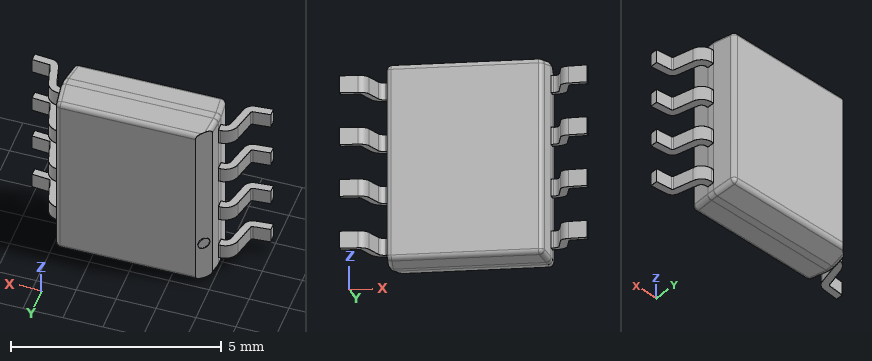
import cadquery as cq
import math


BODY_WIDTH = 3.94
BODY_LENGTH = 4.93
BODY_THICKNESS = 1.485
BAND_THICKNESS = 0.205
DRAFT_ANGLE = 7.0
BODY_FILLET = 0.125
CHAMFER_SETBACK = 0.28

MARKER_RADIUS = 0.155
MARKER_DEPTH = 0.03

LEAD_COUNT = 4
LEAD_PITCH = 1.27
LEAD_WIDTH = 0.42
LEAD_THICKNESS = BAND_THICKNESS
LEAD_SPAN = 5.99
TOE_DEPTH = 0.99
SHOULDER_REACH = 2.31
LEG_ANGLE = 14.0
FOOT_ANGLE = 5.0
SHOULDER_INNER_RADIUS = 0.155
SHOULDER_OUTER_RADIUS = 0.36
HEEL_INNER_RADIUS = 0.05
HEEL_OUTER_RADIUS = 0.26

half_width = BODY_WIDTH / 2
half_thickness = BODY_THICKNESS / 2
half_band = BAND_THICKNESS / 2
draft_height = half_thickness - half_band
top_half_width = half_width - draft_height * math.tan(math.radians(DRAFT_ANGLE))

chamfer_drop = CHAMFER_SETBACK / (1 - math.tan(math.radians(DRAFT_ANGLE)))
chamfer_top_x = CHAMFER_SETBACK - top_half_width
chamfer_middle = (chamfer_top_x - chamfer_drop / 2, half_thickness - chamfer_drop / 2)
marker_z = -LEAD_PITCH


def make_drafted_half(direction):
    """Half of the body outside the band, on the +Y (1) or -Y (-1) side."""
    plane = cq.Plane(origin=(0, direction * half_band, 0), xDir=(1, 0, 0), normal=(0, direction, 0))
    return cq.Workplane(plane).rect(BODY_WIDTH, BODY_LENGTH).extrude(draft_height, taper=DRAFT_ANGLE)


def make_marker():
    """Disc whose outer face lies in the chamfer plane."""
    plane = cq.Plane(origin=(*chamfer_middle, marker_z), xDir=(0, 0, 1), normal=(-1, 1, 0))
    return cq.Workplane(plane).circle(MARKER_RADIUS).extrude(-MARKER_DEPTH)


def make_body():
    """Drafted, rounded body with the pin-1 chamfer and the marker recess."""
    body = cq.Workplane("XY").box(BODY_WIDTH, BAND_THICKNESS, BODY_LENGTH)
    body = body.union(make_drafted_half(1)).union(make_drafted_half(-1))

    corners = body.edges("not(#Y)")
    rims = body.faces("<Y or >Y").edges()
    body = body.newObject(corners.vals() + rims.vals()).fillet(BODY_FILLET)

    cutter = (
        cq.Workplane("XY")
        .moveTo(chamfer_top_x, half_thickness)
        .lineTo(chamfer_top_x - BODY_WIDTH, half_thickness - BODY_WIDTH)
        .lineTo(chamfer_top_x - BODY_WIDTH, half_thickness)
        .close()
        .extrude(BODY_LENGTH, both=True)
    )
    return body.cut(cutter).cut(make_marker())


def heel_point(leg_top, foot_end):
    """Point where the leg line through leg_top crosses the foot line through foot_end."""
    leg_slope = math.tan(math.radians(LEG_ANGLE))
    foot_slope = math.tan(math.radians(FOOT_ANGLE))
    leg_x, leg_y = leg_top
    foot_x, foot_y = foot_end
    rise = (leg_y - foot_y - foot_slope * (foot_x - leg_x)) / (1 - leg_slope * foot_slope)
    return leg_x + leg_slope * rise, leg_y - rise


def make_lead(z):
    """Lead on the +X side: shoulder, leaning leg and foot, centred at height z."""
    leg_run = LEAD_THICKNESS / math.cos(math.radians(LEG_ANGLE))
    shoulder_lean = LEAD_THICKNESS * math.tan(math.radians(LEG_ANGLE))
    toe_height = LEAD_THICKNESS / math.cos(math.radians(FOOT_ANGLE))
    toe_x = LEAD_SPAN / 2

    shoulder_outer = (SHOULDER_REACH, half_band)
    shoulder_inner = (SHOULDER_REACH - leg_run + shoulder_lean, -half_band)
    toe_bottom = (toe_x, -TOE_DEPTH)
    toe_top = (toe_x, -TOE_DEPTH + toe_height)
    heel_outer = heel_point(shoulder_inner, toe_bottom)
    heel_inner = heel_point(shoulder_outer, toe_top)

    outline = [
        (half_width, half_band),
        shoulder_outer,
        heel_inner,
        toe_top,
        toe_bottom,
        heel_outer,
        shoulder_inner,
        (half_width, -half_band),
    ]
    side = cq.Workplane("XY").workplane(offset=z - LEAD_WIDTH / 2)
    lead = side.polyline(outline).close().extrude(LEAD_WIDTH)

    bends = [
        (shoulder_outer, SHOULDER_OUTER_RADIUS),
        (shoulder_inner, SHOULDER_INNER_RADIUS),
        (heel_outer, HEEL_OUTER_RADIUS),
        (heel_inner, HEEL_INNER_RADIUS),
    ]
    for corner, radius in bends:
        lead = lead.edges(cq.selectors.NearestToPointSelector((*corner, z))).fillet(radius)
    return lead


body = make_body()
marker = make_marker()

leads = []
for index in range(LEAD_COUNT):
    right_lead = make_lead((index - (LEAD_COUNT - 1) / 2) * LEAD_PITCH)
    leads.append(right_lead.val())
    leads.append(right_lead.mirror("YZ").val())

result = cq.Compound.makeCompound([body.val(), marker.val(), *leads])